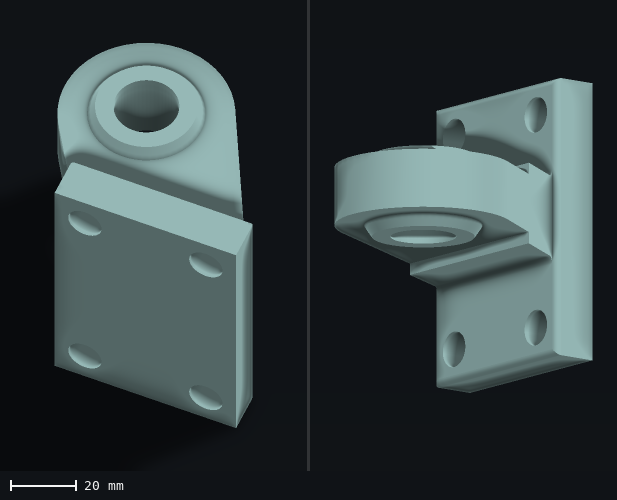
import cadquery as cq
import math

plate_width = 60.0
plate_height = 86.0
plate_thickness = 14.0
edge_radius = 2.0

bolt_hole_diameter = 11.0
bolt_inset = 10.0
bolt_pitch_x = plate_width - 2 * bolt_inset
bolt_pitch_z = plate_height - 2 * bolt_inset

eye_x = 3.0
eye_y = 63.0
eye_radius = 27.0
eye_thickness = 18.0
neck_thickness = 25.0
neck_end_y = 32.0
neck_fillet_radius = 2.0

boss_base_diameter = 36.0
boss_top_diameter = 31.2
boss_height = (neck_thickness - eye_thickness) / 2
bore_diameter = 20.0


def eye_point(angle):
    """Point on the rim of the eye at the given angle in radians."""
    return (eye_x + eye_radius * math.cos(angle), eye_y + eye_radius * math.sin(angle))


def tangent_angle(point, side):
    """Rim angle where a line from the point touches the eye; side is +1 or -1."""
    dx = point[0] - eye_x
    dy = point[1] - eye_y
    return math.atan2(dy, dx) + side * math.acos(eye_radius / math.hypot(dx, dy))


def make_plate():
    plate = cq.Workplane("XY").box(
        plate_width, plate_thickness, plate_height, centered=(False, False, True)
    )
    return plate.faces(">Y").edges().fillet(edge_radius)


def make_arm_prism(thickness):
    """Arm outline, seen along Z, extruded evenly about the mid-plane."""
    left_root = (edge_radius, plate_thickness)
    right_root = (plate_width - edge_radius, plate_thickness)
    left_angle = tangent_angle(left_root, -1)
    right_angle = tangent_angle(right_root, 1)
    far_angle = (left_angle + 2 * math.pi + right_angle) / 2
    return (
        cq.Workplane("XY")
        .moveTo(left_root[0], 0)
        .lineTo(right_root[0], 0)
        .lineTo(*right_root)
        .lineTo(*eye_point(right_angle))
        .threePointArc(eye_point(far_angle), eye_point(left_angle))
        .lineTo(*left_root)
        .close()
        .extrude(thickness / 2, both=True)
    )


def make_arm():
    neck_zone = cq.Workplane("XY").box(
        2 * plate_width, neck_end_y, neck_thickness, centered=(True, False, True)
    ).translate((plate_width / 2, 0, 0))
    neck = make_arm_prism(neck_thickness).intersect(neck_zone)
    return make_arm_prism(eye_thickness).union(neck)


def make_neck_fillet(side):
    """Concave strip along the root of the neck on its +Z (side = 1) or -Z face."""
    face_z = side * neck_thickness / 2
    outer_z = face_z + side * neck_fillet_radius
    top_y = plate_thickness + neck_fillet_radius
    bend = neck_fillet_radius * (1 - math.sqrt(0.5))
    strip = (
        cq.Workplane("YZ")
        .moveTo(plate_thickness, face_z)
        .lineTo(top_y, face_z)
        .threePointArc((plate_thickness + bend, face_z + side * bend), (plate_thickness, outer_z))
        .close()
        .extrude(plate_width)
    )
    return strip.intersect(make_arm_prism(neck_thickness + 2 * neck_fillet_radius))


def make_boss(side):
    return (
        cq.Workplane("XY", origin=(eye_x, eye_y, side * eye_thickness / 2))
        .circle(boss_base_diameter / 2)
        .workplane(offset=side * boss_height)
        .circle(boss_top_diameter / 2)
        .loft(ruled=True)
    )


def make_bore():
    return (
        cq.Workplane("XY", origin=(eye_x, eye_y, 0))
        .circle(bore_diameter / 2)
        .extrude(neck_thickness, both=True)
    )


def make_bolt_holes():
    return (
        cq.Workplane("XZ", origin=(plate_width / 2, 0, 0))
        .rect(bolt_pitch_x, bolt_pitch_z, forConstruction=True)
        .vertices()
        .circle(bolt_hole_diameter / 2)
        .extrude(-plate_thickness)
    )


bracket = make_plate().union(make_arm())
for face_side in (1, -1):
    bracket = bracket.union(make_neck_fillet(face_side)).union(make_boss(face_side))
result = bracket.cut(make_bore()).cut(make_bolt_holes())